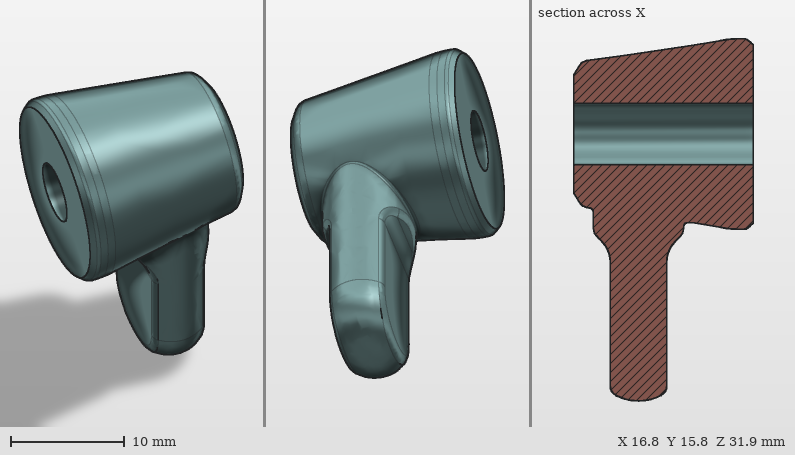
import cadquery as cq
import math

HUB_RADIUS = 8.4
HUB_LENGTH = 15.8
BORE_DIAMETER = 5.4
BAND_LENGTH = 1.86
TAPER_ANGLE = 8.5
TAPER_BLEND_RADIUS = 5.0
FRONT_BEVEL_LENGTH = 0.62
FRONT_BEVEL_DEPTH = 0.52
FRONT_BLEND_RADIUS = 0.5
BACK_FACE_RADIUS = 5.24
BACK_BEVEL_ANGLE = 58.4
BACK_BLEND_RADIUS = 1.0

HANDLE_Y = 10.1
HANDLE_HALF_WIDTH = 5.38
HANDLE_HALF_DEPTH = 4.0
HANDLE_TIP_Z = -23.5
HANDLE_TIP_HEIGHT = 4.65
TIP_FULLNESS = 0.62
GRIP_HALF_THICKNESS = 2.5
GRIP_TOP_Z = -11.25
GRIP_RELIEF_RADIUS = 2.5
GRIP_RELIEF_ANGLE = 45.0
GRIP_EDGE_RADIUS = 1.0
JOINT_RADIUS = 0.3

CUT_CLEARANCE = 1.0
SELECTION_MARGIN = 0.1


def make_hub():
    """Revolve the hub profile about Y and round the corners of its bevels and band."""
    taper = math.tan(math.radians(TAPER_ANGLE))
    bevel = math.tan(math.radians(BACK_BEVEL_ANGLE))
    taper_radius_at_back = HUB_RADIUS - taper * (HUB_LENGTH - BAND_LENGTH)
    back_bevel_length = (taper_radius_at_back - BACK_FACE_RADIUS) / (bevel - taper)
    back_corner = (BACK_FACE_RADIUS + bevel * back_bevel_length, HUB_LENGTH - back_bevel_length)
    front_corner = (HUB_RADIUS, FRONT_BEVEL_LENGTH)
    band_corner = (HUB_RADIUS, BAND_LENGTH)

    hub = (
        cq.Workplane("XY")
        .polyline([
            (0, 0),
            (HUB_RADIUS - FRONT_BEVEL_DEPTH, 0),
            front_corner,
            band_corner,
            back_corner,
            (BACK_FACE_RADIUS, HUB_LENGTH),
            (0, HUB_LENGTH),
        ])
        .close()
        .revolve(360, (0, 0, 0), (0, 1, 0))
    )
    corner_blends = [
        (front_corner, FRONT_BLEND_RADIUS),
        (band_corner, TAPER_BLEND_RADIUS),
        (back_corner, BACK_BLEND_RADIUS),
    ]
    for (radius, y), blend_radius in corner_blends:
        reach = radius + SELECTION_MARGIN
        ring = cq.selectors.BoxSelector(
            (-reach, y - SELECTION_MARGIN, -reach),
            (reach, y + SELECTION_MARGIN, reach),
            boundingbox=True,
        )
        hub = hub.edges(ring).fillet(blend_radius)
    return hub


def make_handle_bar():
    """Stretch a round-ended unit bar into an elliptical bar from the hub axis to the tip."""
    bar_length = (-HANDLE_TIP_Z - HANDLE_TIP_HEIGHT) / HANDLE_TIP_HEIGHT
    unit_bar = (
        cq.Workplane("XZ")
        .moveTo(0, bar_length)
        .lineTo(1, bar_length)
        .lineTo(1, 0)
        .bezier([(1, 0), (1, -TIP_FULLNESS), (TIP_FULLNESS, -1), (0, -1)])
        .close()
        .revolve(360, (0, 0, 0), (0, 1, 0))
    )
    stretch = cq.Matrix([
        [HANDLE_HALF_WIDTH, 0, 0, 0],
        [0, HANDLE_HALF_DEPTH, 0, HANDLE_Y],
        [0, 0, HANDLE_TIP_HEIGHT, HANDLE_TIP_Z + HANDLE_TIP_HEIGHT],
        [0, 0, 0, 1],
    ])
    return cq.Workplane(unit_bar.val().transformGeometry(stretch))


def make_grip_cutter(side):
    """Block that cuts one flat and its run-out; side is -1 for front, +1 for back."""
    angle = math.radians(GRIP_RELIEF_ANGLE)

    def relief_point(turn):
        offset = GRIP_HALF_THICKNESS + GRIP_RELIEF_RADIUS * (1 - math.cos(turn))
        return (HANDLE_Y + side * offset, GRIP_TOP_Z + GRIP_RELIEF_RADIUS * math.sin(turn))

    flat_y = HANDLE_Y + side * GRIP_HALF_THICKNESS
    outer_y = HANDLE_Y + side * (HANDLE_HALF_DEPTH + CUT_CLEARANCE)
    below_tip_z = HANDLE_TIP_Z - CUT_CLEARANCE
    arc_end = relief_point(angle)
    outer_z = arc_end[1] + abs(outer_y - arc_end[0]) / math.tan(angle)
    return (
        cq.Workplane("YZ")
        .moveTo(flat_y, below_tip_z)
        .lineTo(flat_y, GRIP_TOP_Z)
        .threePointArc(relief_point(angle / 2), arc_end)
        .lineTo(outer_y, outer_z)
        .lineTo(outer_y, below_tip_z)
        .close()
        .extrude(HANDLE_HALF_WIDTH + CUT_CLEARANCE, both=True)
    )


def make_handle():
    """Cut the two flats and round the edges around them."""
    handle = make_handle_bar()
    for side in (-1, 1):
        handle = handle.cut(make_grip_cutter(side))
    rims = handle.faces("|Y").edges("not |X")
    return rims.fillet(GRIP_EDGE_RADIUS)


def round_joint(body):
    """Fillet the seam where the handle grows out of the hub."""
    half_width = HANDLE_HALF_WIDTH + SELECTION_MARGIN
    half_depth = HANDLE_HALF_DEPTH + SELECTION_MARGIN
    seam_zone = cq.selectors.BoxSelector(
        (-half_width, HANDLE_Y - half_depth, GRIP_TOP_Z),
        (half_width, HANDLE_Y + half_depth, 0),
        boundingbox=True,
    )
    return body.edges(seam_zone).edges(">Z").fillet(JOINT_RADIUS)


def make_bore():
    """Cylinder along the hub axis, through the full hub length."""
    return cq.Workplane("XZ").circle(BORE_DIAMETER / 2).extrude(-HUB_LENGTH)


body = make_hub().union(make_handle())
result = round_joint(body).cut(make_bore())